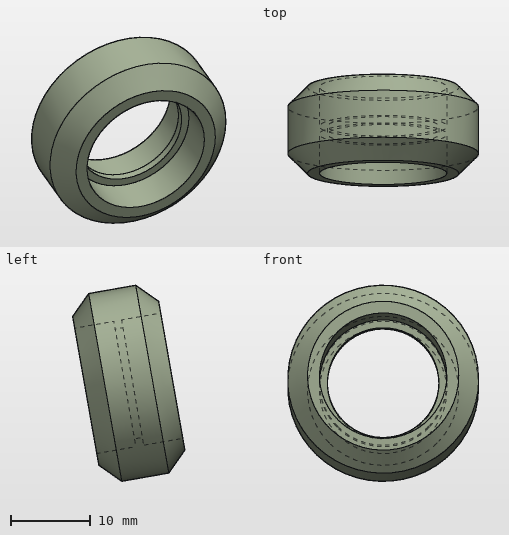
import cadquery as cq

outer_diameter = 24.0
face_diameter = 19.0
wheel_width = 11.0
bevel = (outer_diameter - face_diameter) / 2

seat_diameter = 16.0
lip_diameter = 14.0
lip_width = 1.0
seat_depth = (wheel_width - lip_width) / 2

tilt_angle = -10.0


def make_body():
    """Solid disc along Y, centred on the origin, with bevelled rims."""
    disc = cq.Workplane("XZ").cylinder(wheel_width, outer_diameter / 2)
    return disc.faces("<Y or >Y").edges().chamfer(bevel)


def make_bearing_seat(side):
    """Cutter for the seat on the -Y face (side = 1) or the +Y face (side = -1)."""
    return (
        cq.Workplane("XZ", origin=(0, -side * wheel_width / 2, 0))
        .circle(seat_diameter / 2)
        .extrude(-side * seat_depth)
    )


def make_lip_bore():
    """Cutter for the bore through the central lip."""
    return cq.Workplane("XZ").cylinder(wheel_width, lip_diameter / 2)


wheel = make_body().cut(make_lip_bore())
for side in (1, -1):
    wheel = wheel.cut(make_bearing_seat(side))

result = wheel.rotate((0, 0, 0), (1, 0, 0), tilt_angle)